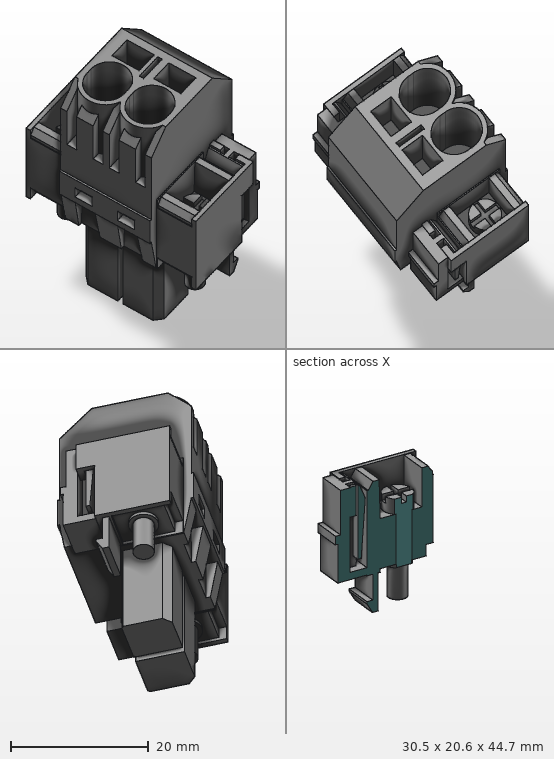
import cadquery as cq


SIDES = (-1, 1)
MARGIN = 1.0

PITCH = 7.62
POLES = tuple(side * PITCH / 2 for side in SIDES)
TOTAL_WIDTH = 4 * PITCH
HOUSING_WIDTH = 16.3
HOUSING_TOP = 29.35
TOTAL_HEIGHT = 44.7

FRONT_Y = -6.27
BACK_Y = 13.68
TOP_FRONT_Y = -2.73
TOP_BACK_Y = 8.8
FRONT_SHOULDER_Z = 25.72
BACK_SHOULDER_Z = 24.45
BAND_TOP = 12.0
BAND_BOTTOM = 6.92
BAND_FRONT_Y = -6.6
BAND_BACK_Y = 14.0
FOOT_FRONT_Y = -5.13
FOOT_BACK_Y = 12.95
FRONT_FOOT_Z = 0.15
BACK_FOOT_Z = 2.1

PLUG_FRONT_Y = -2.73
PLUG_BACK_Y = 4.66
PLUG_INNER_X = 0.46
PLUG_OUTER_X = 7.02
PLUG_FRONT_CHAMFER = 1.18
PLUG_BACK_CHAMFER = 0.3
PLUG_BOTTOM = HOUSING_TOP - TOTAL_HEIGHT

ENTRY_RADIUS = 3.34
ENTRY_FRONT_Y = -4.45
ENTRY_BACK_Y = 3.2
ENTRY_DEPTH = 16.0
COLLAR_WALL = 0.77
COLLAR_RADIUS = ENTRY_RADIUS + COLLAR_WALL
GROOVE_BOTTOM = 18.37
GROOVE_INNER = 1.5
GROOVE_OUTER = 3.22

RELEASE_INNER_X = 1.31
RELEASE_WIDTH = 4.87
RELEASE_FRONT_Y = 3.73
RELEASE_BACK_Y = 7.45
RELEASE_DEPTH = 10.0
SLIT_LEFT_X = -0.67
SLIT_RIGHT_X = 0.1
SLIT_FLOOR_RIGHT_X = -0.08
SLIT_FRONT_Y = 2.9
SLIT_DEPTH = 8.0

WINDOW_WIDTH = 3.03
WINDOW_BOTTOM = 8.15
WINDOW_TOP = 10.17
WINDOW_DEPTH = 1.5
RECESS_TOP_WIDTH = 3.54
RECESS_BOTTOM_WIDTH = 3.8
RECESS_FLOOR_Y = -4.47

FLANGE_OUTER_X = -TOTAL_WIDTH / 2
FLANGE_INNER_X = -HOUSING_WIDTH / 2
FLANGE_TOP = 15.26
CORE_SETBACK = 0.1
CORE_TOP = FLANGE_TOP - CORE_SETBACK
FLANGE_FRONT_Y = -5.05
OUTER_WALL = 0.75
INNER_WALL = 0.2
CAVITY_LEFT_X = FLANGE_OUTER_X + OUTER_WALL
CAVITY_RIGHT_X = FLANGE_INNER_X - INNER_WALL
BLOCK_BACK_Y = 6.33
LIP_FRONT_Y = 8.1
LIP_BACK_Y = 9.13
LIP_BOTTOM = 10.3
OUTER_LIP_END_X = -12.77
INNER_LIP_END_X = -10.08

WELL_FRONT_Y = -3.02
WELL_BACK_Y = 4.0
WELL_BACK_TOP_Y = 4.2
WELL_FLOOR = 8.8
BAR_FACE_Y = -4.93
BAR_CHAMFER_Y = -4.13
BAR_CHAMFER_Z = 14.1
BAR_LEDGE_Z = 13.54
REAR_CHAMFER_TOP_Y = 5.3
REAR_CHAMFER_LOW_Y = 6.12
REAR_CHAMFER_Z = 13.9
TOE_TOP = 2.43
TOE_FACE_Y = -3.85
UNDERSIDE_Z = 0.57

LEVER_UPPER_Y = 10.86
LEVER_LOWER_Y = 11.28
LEVER_TAB_Y = 11.7
LEVER_TAB_TOP = 7.92
LEVER_TAB_BOTTOM = 6.47
LEVER_BOTTOM = 0.14
LEVER_FOOT_TOP = 1.41
STEM_LEFT_X = -11.78
STEM_RIGHT_X = -10.96
FINGER_BACK_Y = 7.85
FINGER_BOTTOM = 3.1
FINGER_TIP_Y = 7.57
FINGER_NOSE_Y = 6.55
FINGER_NOSE_Z = 12.8
FINGER_ROOT_Y = 7.37

TAIL_FRONT_Y = 4.36
TAIL_BACK_Y = 5.35
TAIL_BOTTOM = -6.2
HOOK_TOP = -4.12
HOOK_FLAT_BOTTOM = -4.5
HOOK_TIP_Y = 6.36

SCREW_X = (CAVITY_LEFT_X + CAVITY_RIGHT_X) / 2
HEAD_DIAMETER = 4.8
HEAD_TOP = 11.3
SHOULDER_DIAMETER = 4.4
THREAD_DIAMETER = 3.1
THREAD_BOTTOM = -5.5
CROSS_DEPTH = 1.0
CROSS_WIDTH_X = 0.95
CROSS_WIDTH_Y = 0.75


def block(x0, x1, y0, y1, z0, z1):
    """Box between two opposite corners."""
    return cq.Workplane("XY").box(x1 - x0, y1 - y0, z1 - z0, centered=False).translate((x0, y0, z0))


def side_prism(x0, x1, points):
    """Closed (Y, Z) outline extruded along X from x0 to x1."""
    return cq.Workplane("YZ", origin=(x0, 0, 0)).polyline(points).close().extrude(x1 - x0)


def upright_slot(x, radius, z0, z1):
    """Round-ended prism concentric with a wire entry, standing from z0 to z1."""
    length = ENTRY_BACK_Y - ENTRY_FRONT_Y + 2 * (radius - ENTRY_RADIUS)
    center_y = (ENTRY_FRONT_Y + ENTRY_BACK_Y) / 2
    outline = cq.Workplane("XY", origin=(x, center_y, z0)).slot2D(length, 2 * radius, 90)
    return outline.extrude(z1 - z0)



def housing_shell():
    half = HOUSING_WIDTH / 2
    outline = [
        (TOP_FRONT_Y, HOUSING_TOP),
        (TOP_BACK_Y, HOUSING_TOP),
        (BACK_Y, BACK_SHOULDER_Z),
        (BACK_Y, BAND_TOP),
        (BAND_BACK_Y, BAND_TOP),
        (BAND_BACK_Y, BAND_BOTTOM),
        (BACK_Y, BAND_BOTTOM),
        (FOOT_BACK_Y, BACK_FOOT_Z),
        (PLUG_BACK_Y, BACK_FOOT_Z),
        (PLUG_BACK_Y, FRONT_FOOT_Z),
        (FOOT_FRONT_Y, FRONT_FOOT_Z),
        (FRONT_Y, BAND_BOTTOM),
        (BAND_FRONT_Y, BAND_BOTTOM),
        (BAND_FRONT_Y, BAND_TOP),
        (FRONT_Y, BAND_TOP),
        (FRONT_Y, FRONT_SHOULDER_Z),
    ]
    return side_prism(-half, half, outline)


def plug(side):
    outline = [
        (side * PLUG_INNER_X, PLUG_FRONT_Y),
        (side * (PLUG_OUTER_X - PLUG_FRONT_CHAMFER), PLUG_FRONT_Y),
        (side * PLUG_OUTER_X, PLUG_FRONT_Y + PLUG_FRONT_CHAMFER),
        (side * PLUG_OUTER_X, PLUG_BACK_Y - PLUG_BACK_CHAMFER),
        (side * (PLUG_OUTER_X - PLUG_BACK_CHAMFER), PLUG_BACK_Y),
        (side * PLUG_INNER_X, PLUG_BACK_Y),
    ]
    base = cq.Workplane("XY", origin=(0, 0, PLUG_BOTTOM)).polyline(outline).close()
    return base.extrude(FRONT_FOOT_Z - PLUG_BOTTOM)


def collar_grooves(x):
    """Two upright grooves that bare the sides of a wire entry collar."""
    strips = block(
        x - GROOVE_OUTER, x - GROOVE_INNER, FRONT_Y - MARGIN, TOP_FRONT_Y, GROOVE_BOTTOM, HOUSING_TOP
    ).union(block(
        x + GROOVE_INNER, x + GROOVE_OUTER, FRONT_Y - MARGIN, TOP_FRONT_Y, GROOVE_BOTTOM, HOUSING_TOP
    ))
    return strips.cut(upright_slot(x, COLLAR_RADIUS, GROOVE_BOTTOM - MARGIN, HOUSING_TOP + MARGIN))


def release_opening(side):
    center_x = side * (RELEASE_INNER_X + RELEASE_WIDTH / 2)
    return block(
        center_x - RELEASE_WIDTH / 2, center_x + RELEASE_WIDTH / 2,
        RELEASE_FRONT_Y, RELEASE_BACK_Y,
        HOUSING_TOP - RELEASE_DEPTH, HOUSING_TOP + MARGIN,
    )


def center_slit():
    """Slit between the release openings, with a leaning right-hand wall."""
    floor = HOUSING_TOP - SLIT_DEPTH
    outline = [
        (SLIT_LEFT_X, HOUSING_TOP),
        (SLIT_LEFT_X, floor),
        (SLIT_FLOOR_RIGHT_X, floor),
        (SLIT_RIGHT_X, HOUSING_TOP),
    ]
    section = cq.Workplane("XZ", origin=(0, RELEASE_BACK_Y, 0)).polyline(outline).close()
    return section.extrude(RELEASE_BACK_Y - SLIT_FRONT_Y)


def test_window(x):
    return block(
        x - WINDOW_WIDTH / 2, x + WINDOW_WIDTH / 2,
        BAND_FRONT_Y - MARGIN, BAND_FRONT_Y + WINDOW_DEPTH,
        WINDOW_BOTTOM, WINDOW_TOP,
    )


def front_recess(x):
    """Recess below the band that widens slightly towards the bottom."""
    outline = [
        (x - RECESS_TOP_WIDTH / 2, BAND_BOTTOM),
        (x + RECESS_TOP_WIDTH / 2, BAND_BOTTOM),
        (x + RECESS_BOTTOM_WIDTH / 2, FRONT_FOOT_Z),
        (x - RECESS_BOTTOM_WIDTH / 2, FRONT_FOOT_Z),
    ]
    section = cq.Workplane("XZ", origin=(0, RECESS_FLOOR_Y, 0)).polyline(outline).close()
    return section.extrude(RECESS_FLOOR_Y - BAND_FRONT_Y)


def make_housing():
    body = housing_shell()
    for side in SIDES:
        body = body.union(plug(side))
    for x in POLES:
        body = body.cut(collar_grooves(x))
        body = body.union(upright_slot(x, COLLAR_RADIUS, GROOVE_BOTTOM, HOUSING_TOP))
    for x in POLES:
        body = body.cut(upright_slot(x, ENTRY_RADIUS, HOUSING_TOP - ENTRY_DEPTH, HOUSING_TOP + MARGIN))
        body = body.cut(test_window(x))
        body = body.cut(front_recess(x))
    for side in SIDES:
        body = body.cut(release_opening(side))
    return body.cut(center_slit())



def flange_core():
    """Filled middle of the flange: front bar, screw well and rear bar."""
    outline = [
        (FLANGE_FRONT_Y, TOE_TOP),
        (FLANGE_FRONT_Y, BAR_LEDGE_Z),
        (BAR_FACE_Y, BAR_LEDGE_Z),
        (BAR_FACE_Y, BAR_CHAMFER_Z),
        (BAR_CHAMFER_Y, CORE_TOP),
        (WELL_FRONT_Y, CORE_TOP),
        (WELL_FRONT_Y, WELL_FLOOR),
        (WELL_BACK_Y, WELL_FLOOR),
        (WELL_BACK_TOP_Y, CORE_TOP),
        (REAR_CHAMFER_TOP_Y, CORE_TOP),
        (REAR_CHAMFER_LOW_Y, REAR_CHAMFER_Z),
        (BLOCK_BACK_Y, REAR_CHAMFER_Z),
        (BLOCK_BACK_Y, 0),
        (WELL_BACK_Y, 0),
        (WELL_BACK_Y, UNDERSIDE_Z),
        (TOE_FACE_Y, UNDERSIDE_Z),
        (TOE_FACE_Y, TOE_TOP),
    ]
    return side_prism(CAVITY_LEFT_X, CAVITY_RIGHT_X, outline)


def flange_walls():
    """Side walls and the two rear lips; the inner lip is carried by the latch lever."""
    outer = block(FLANGE_OUTER_X, CAVITY_LEFT_X, FLANGE_FRONT_Y, BLOCK_BACK_Y, 0, FLANGE_TOP)
    outer_top = block(FLANGE_OUTER_X, CAVITY_LEFT_X, BLOCK_BACK_Y, LIP_BACK_Y, LIP_BOTTOM, FLANGE_TOP)
    outer_lip = block(FLANGE_OUTER_X, OUTER_LIP_END_X, LIP_FRONT_Y, LIP_BACK_Y, LIP_BOTTOM, FLANGE_TOP)
    inner_lip = block(INNER_LIP_END_X, FLANGE_INNER_X, LIP_FRONT_Y, LIP_BACK_Y, LIP_BOTTOM, FLANGE_TOP)
    inner = block(CAVITY_RIGHT_X, FLANGE_INNER_X, FLANGE_FRONT_Y, BLOCK_BACK_Y, 0, FLANGE_TOP)
    return outer.union(outer_top).union(outer_lip).union(inner).union(inner_lip)


def finger_prism(x0, x1, back_y, bottom):
    """Prism with the overhanging front of the latch finger, cut off level at its bottom."""
    prism = side_prism(x0, x1, [
        (back_y, CORE_TOP),
        (FINGER_TIP_Y, CORE_TOP),
        (FINGER_NOSE_Y, FINGER_NOSE_Z),
        (FINGER_ROOT_Y, LEVER_FOOT_TOP),
        (back_y, LEVER_FOOT_TOP),
    ])
    return prism.intersect(block(x0, x1, FINGER_NOSE_Y, back_y, bottom, CORE_TOP))


def latch_lever():
    """Rear lever on a foot, with a stem that carries the finger in front of it."""
    lever = side_prism(CAVITY_LEFT_X, CAVITY_RIGHT_X, [
        (LIP_BACK_Y, CORE_TOP),
        (LEVER_UPPER_Y, CORE_TOP),
        (LEVER_UPPER_Y, LEVER_TAB_TOP),
        (LEVER_TAB_Y, LEVER_TAB_TOP),
        (LEVER_TAB_Y, LEVER_TAB_BOTTOM),
        (LEVER_LOWER_Y, LEVER_TAB_BOTTOM),
        (LEVER_LOWER_Y, LEVER_BOTTOM),
        (TAIL_FRONT_Y, LEVER_BOTTOM),
        (TAIL_FRONT_Y, LEVER_FOOT_TOP),
        (LIP_BACK_Y, LEVER_FOOT_TOP),
    ])
    finger = finger_prism(CAVITY_LEFT_X, CAVITY_RIGHT_X, FINGER_BACK_Y, FINGER_BOTTOM)
    stem = finger_prism(STEM_LEFT_X, STEM_RIGHT_X, LIP_BACK_Y, LEVER_FOOT_TOP)
    return lever.union(finger).union(stem)


def snap_tail():
    return side_prism(CAVITY_LEFT_X, CAVITY_RIGHT_X, [
        (TAIL_FRONT_Y, TAIL_BOTTOM),
        (TAIL_FRONT_Y, UNDERSIDE_Z),
        (TAIL_BACK_Y, UNDERSIDE_Z),
        (TAIL_BACK_Y, HOOK_TOP),
        (HOOK_TIP_Y, HOOK_TOP),
        (HOOK_TIP_Y, HOOK_FLAT_BOTTOM),
        (TAIL_BACK_Y, TAIL_BOTTOM),
    ])


def make_flange(side):
    """Flange on the given side; the right-hand one is the mirror image of the left-hand one."""
    body = flange_core().union(flange_walls()).union(latch_lever()).union(snap_tail())
    hole = cq.Workplane("XY", origin=(SCREW_X, 0, 0)).circle(SHOULDER_DIAMETER / 2).extrude(WELL_FLOOR)
    body = body.cut(hole)
    return body if side < 0 else body.mirror("YZ")



def make_screw(side):
    """Cross-slotted screw with a shoulder in the flange and a thread below it."""
    profile = [
        (0, THREAD_BOTTOM),
        (THREAD_DIAMETER / 2, THREAD_BOTTOM),
        (THREAD_DIAMETER / 2, 0),
        (SHOULDER_DIAMETER / 2, 0),
        (SHOULDER_DIAMETER / 2, WELL_FLOOR),
        (HEAD_DIAMETER / 2, WELL_FLOOR),
        (HEAD_DIAMETER / 2, HEAD_TOP),
        (0, HEAD_TOP),
    ]
    body = cq.Workplane("XZ").polyline(profile).close().revolve(360, (0, 0), (0, 1))
    slots = cq.Workplane("XY", origin=(0, 0, HEAD_TOP - CROSS_DEPTH))
    body = body.cut(slots.rect(CROSS_WIDTH_X, HEAD_DIAMETER + MARGIN).extrude(CROSS_DEPTH))
    body = body.cut(slots.rect(HEAD_DIAMETER + MARGIN, CROSS_WIDTH_Y).extrude(CROSS_DEPTH))
    return body.translate((-side * SCREW_X, 0, 0))


housing = make_housing()
flanges = [make_flange(side) for side in SIDES]
screws = [make_screw(side) for side in SIDES]

result = cq.Compound.makeCompound(
    [housing.val(), *[flange.val() for flange in flanges], *[screw.val() for screw in screws]]
)